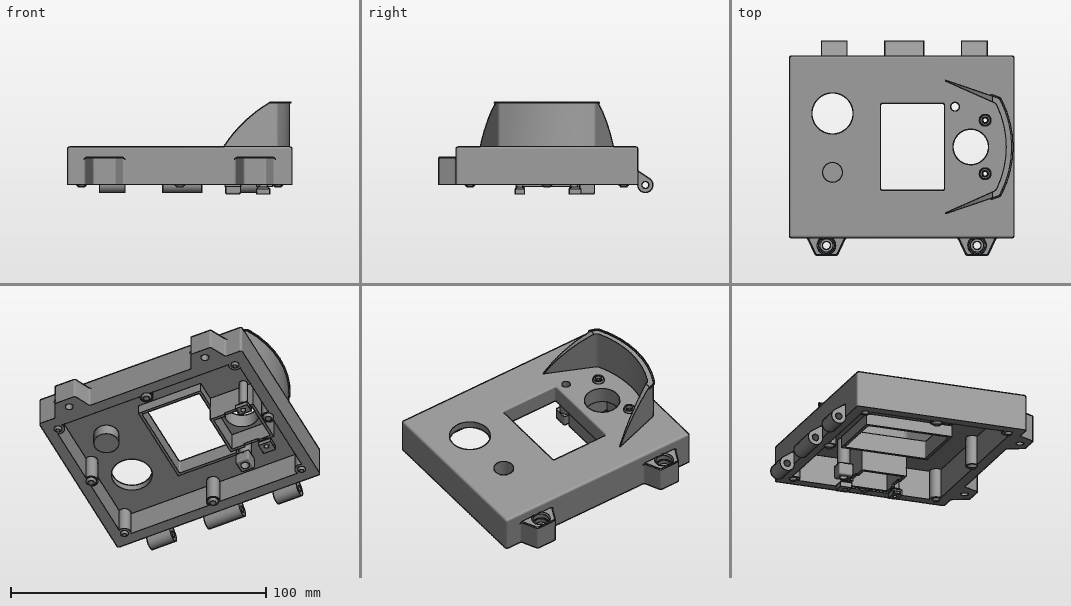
import cadquery as cq
import math


lid_length = 88.0
lid_width = 71.3
lid_height = 14.8
plate_thickness = 3.0
wall_thickness = 4.4
edge_radius = 1.0
middle_x = lid_length / 2
middle_y = lid_width / 2
thin_wall = 1.1

knob_hole_diameter = 16.0
knob_hole_at = (16.9, 48.75)
button_diameter = 7.7
button_depth = 7.0
button_at = (16.9, 25.7)

window_length = 24.9
window_width = 33.9
window_at = (48.2, middle_y)
window_corner_radius = 0.5
window_edge_radius = 0.7
frame_depth = 7.5

sensor_at = (71.0, middle_y)
sensor_hole_diameter = 13.8
sensor_block_side = 18.7
sensor_block_depth = 15.6
sensor_pocket_top = 6.95
sensor_notch_length = 6.2

foot_bottom = 18.6
guide_at = (64.9, 51.4)
guide_bore = 3.3
guide_diameter = 4.9
guide_foot_side = 5.8
guide_foot_height = 4.9
guide_foot_radius = 0.7
screw_x = 76.65
screw_spacing = 20.9
screw_bore = 1.85
screw_post_diameter = 3.3
screw_foot_length = 5.2
screw_foot_inner_half = 1.8
front_foot_outer_half = 1.9
back_foot_outer_half = 2.9
screw_foot_height = 2.8
screw_foot_chamfer = 0.8
foot_slot_width = 2.6
foot_slot_top = 17.25
foot_slot_bottom = 18.1
foot_slot_depth = 0.35
screw_rim_diameter = 4.7
screw_rim_height = 1.0
screw_rim_top_diameter = 4.0
screw_recess_diameter = 2.55

visor_height = 17.5
visor_apex_x = 87.0
visor_outer_radius = 39.95
visor_thickness = 2.1
visor_outer_corner_radius = 1.8
visor_inner_corner_radius = 2.6
visor_lip_overhang = 0.5
visor_lip_height = 0.35
wing_tip_x = 61.2
wing_tip_outer = 26.1
wing_tip_inner = 25.8
wing_outer_slope = 0.34
wing_inner_slope = 0.443
wing_top_x = 79.55
wing_bulge = 1.5

ear_inset = 14.5
ear_reach = 6.8
ear_top = 4.05
ear_root_half = 7.5
ear_tip_half = 4.3
ear_corner_radius = 1.0
ear_edge_chamfer = 0.35
ear_hole_offset = 2.9
ear_hole_diameter = 3.1
ear_rim_diameter = 7.3
ear_bore_diameter = 6.25
ear_bore_depth = 2.0
ear_seat_diameter = 5.2
ear_seat_depth = 1.8

hinges = [(17.6, 10.1), (45.0, 15.3), (72.4, 10.1)]
hinge_radius = 3.0
hinge_bore = 2.6
hinge_axis_y = lid_width + 2.9
hinge_axis_z = -15.0
hinge_arm_top = -9.4

pin_inset = 5.5
pin_height = 1.0
pin_base_diameter = 3.2
pin_tip_diameter = 1.7
side_pin_base_diameter = 4.2
side_pin_tip_diameter = 2.4
pin_post_diameter = 5.3


def block(length, width, at, top, bottom):
    """Upright box centred on a point in plan."""
    box = cq.Workplane("XY").box(length, width, top - bottom, centered=(True, True, False))
    return box.translate((at[0], at[1], bottom))


def cylinder(diameter, at, top, bottom):
    """Upright cylinder centred on a point in plan."""
    return cq.Workplane("XY", origin=(at[0], at[1], bottom)).circle(diameter / 2).extrude(top - bottom)


def cone(top_diameter, bottom_diameter, at, top, bottom):
    """Upright truncated cone centred on a point in plan."""
    top_radius = top_diameter / 2
    bottom_radius = bottom_diameter / 2
    height = top - bottom
    profile = [(0, 0), (bottom_radius, 0), (top_radius, height), (0, height)]
    solid = cq.Workplane("XZ").polyline(profile).close().revolve(360, (0, 0, 0), (0, 1, 0))
    return solid.translate((at[0], at[1], bottom))


def make_lid():
    """Shell with rounded outer edges, open at the bottom."""
    centre = (middle_x, middle_y)
    lid = block(lid_length, lid_width, centre, 0, -lid_height)
    lid = lid.edges("|Z or >Z").fillet(edge_radius)
    inner_length = lid_length - 2 * wall_thickness
    inner_width = lid_width - 2 * wall_thickness
    return lid.cut(block(inner_length, inner_width, centre, -plate_thickness, -lid_height))


def make_ear(x):
    """Solid ear that narrows away from the front wall."""
    outline = [
        (x - ear_root_half, 0),
        (x - ear_tip_half, -ear_reach),
        (x + ear_tip_half, -ear_reach),
        (x + ear_root_half, 0),
    ]
    ear = cq.Workplane("XY", origin=(0, 0, -lid_height)).polyline(outline).close()
    ear = ear.extrude(lid_height - ear_top)
    ear = ear.edges("|Z and <Y").fillet(ear_corner_radius)
    ear = ear.faces(">Z").edges("not >Y").chamfer(ear_edge_chamfer)
    return ear


def make_ear_hole(x):
    """Cutter for a through hole under a two-step bore with a bevelled rim."""
    at = (x, -ear_hole_offset)
    bore_top = -ear_top - (ear_rim_diameter - ear_bore_diameter) / 2
    seat_top = bore_top - ear_bore_depth
    seat_bottom = seat_top - ear_seat_depth
    cutter = cone(ear_rim_diameter, ear_bore_diameter, at, -ear_top, bore_top)
    cutter = cutter.union(cylinder(ear_bore_diameter, at, bore_top, seat_top))
    cutter = cutter.union(cylinder(ear_seat_diameter, at, seat_top, seat_bottom))
    return cutter.union(cylinder(ear_hole_diameter, at, seat_bottom, -lid_height))


def make_hinge(x, length):
    """Knuckle with an arm whose upper face runs tangent to the barrel."""
    run = hinge_axis_y - lid_width
    rise = hinge_arm_top - hinge_axis_z
    normal = math.atan2(rise, -run) - math.acos(hinge_radius / math.hypot(run, rise))
    tangent_y = hinge_axis_y + hinge_radius * math.cos(normal)
    tangent_z = hinge_axis_z + hinge_radius * math.sin(normal)
    root_y = lid_width - edge_radius
    outline = [
        (root_y, hinge_arm_top),
        (lid_width, hinge_arm_top),
        (tangent_y, tangent_z),
        (hinge_axis_y, hinge_axis_z),
        (lid_width, -lid_height),
        (root_y, -lid_height),
    ]
    plane = cq.Workplane("YZ", origin=(x - length / 2, 0, 0))
    barrel = plane.center(hinge_axis_y, hinge_axis_z).circle(hinge_radius).extrude(length)
    bore = plane.center(hinge_axis_y, hinge_axis_z).circle(hinge_bore / 2).extrude(length)
    return plane.polyline(outline).close().extrude(length).union(barrel).cut(bore)


def wing_meets_arc(radius, tip, slope):
    """Point (X, distance from the visor's middle) where a wing's side line meets an arc."""
    centre_x = visor_apex_x - visor_outer_radius
    a = 1 + slope**2
    b = 2 * (wing_tip_x - centre_x) - 2 * tip * slope
    c = (wing_tip_x - centre_x) ** 2 + tip**2 - radius**2
    run = (-b + math.sqrt(b**2 - 4 * a * c)) / (2 * a)
    return wing_tip_x + run, tip - slope * run


def visor_slab(overhang, bottom):
    """Upright visor wall from a given height to its top, grown outward by an overhang."""
    outer_radius = visor_outer_radius + overhang
    apex_x = visor_apex_x + overhang
    tip_outer = wing_tip_outer + overhang
    inner_radius = visor_outer_radius - visor_thickness
    outer_x, outer_half = wing_meets_arc(outer_radius, tip_outer, wing_outer_slope)
    inner_x, inner_half = wing_meets_arc(inner_radius, wing_tip_inner, wing_inner_slope)
    slab = (
        cq.Workplane("XY", origin=(0, middle_y, bottom))
        .moveTo(wing_tip_x, tip_outer)
        .lineTo(outer_x, outer_half)
        .threePointArc((apex_x, 0), (outer_x, -outer_half))
        .lineTo(wing_tip_x, -tip_outer)
        .lineTo(wing_tip_x, -wing_tip_inner)
        .lineTo(inner_x, -inner_half)
        .threePointArc((visor_apex_x - visor_thickness, 0), (inner_x, inner_half))
        .lineTo(wing_tip_x, wing_tip_inner)
        .close()
        .extrude(visor_height - bottom)
    )
    corners = [
        (outer_x, outer_half, visor_outer_corner_radius + overhang),
        (inner_x, inner_half, visor_inner_corner_radius),
    ]
    for x, half, radius in corners:
        for side in (-1, 1):
            corner = cq.selectors.NearestToPointSelector(
                (x, middle_y + side * half, (bottom + visor_height) / 2))
            slab = slab.edges("|Z").edges(corner).fillet(radius)
    return slab


def make_visor():
    """Curved back wall with two wedge-shaped wings, a top lip and a rounded front slope."""
    visor = visor_slab(0, 0).union(visor_slab(visor_lip_overhang, visor_height - visor_lip_height))
    run = wing_top_x - wing_tip_x
    chord = math.hypot(run, visor_height)
    bulge_point = (
        wing_tip_x + run / 2 - wing_bulge * visor_height / chord,
        visor_height / 2 + wing_bulge * run / chord,
    )
    side_profile = (
        cq.Workplane("XZ", origin=(0, lid_width, 0))
        .moveTo(wing_tip_x, 0)
        .threePointArc(bulge_point, (wing_top_x, visor_height))
        .lineTo(lid_length, visor_height)
        .lineTo(lid_length, 0)
        .close()
        .extrude(lid_width)
    )
    return visor.intersect(side_profile)


def make_guide_post():
    """Round post ending in a square foot with rounded edges."""
    foot_top = guide_foot_height - foot_bottom
    foot = block(guide_foot_side, guide_foot_side, guide_at, foot_top, -foot_bottom)
    foot = foot.edges("|Z or <Z").fillet(guide_foot_radius)
    return foot.union(cylinder(guide_diameter, guide_at, -plate_thickness, foot_top))


def make_screw_post(at, side, outer_half):
    """Post with a raised rim on the plate and a foot reaching further away from the sensor."""
    foot_top = screw_foot_height - foot_bottom
    foot_at = (at[0], at[1] + side * (outer_half - screw_foot_inner_half) / 2)
    foot = block(screw_foot_length, outer_half + screw_foot_inner_half, foot_at, foot_top, -foot_bottom)
    foot = foot.faces(">Z").edges().chamfer(screw_foot_chamfer)
    rim = cone(screw_rim_top_diameter, screw_rim_diameter, at, screw_rim_height, 0)
    return foot.union(rim).union(cylinder(screw_post_diameter, at, -plate_thickness, foot_top))


def make_pin(at, base_diameter, tip_diameter):
    """Tapered pin on a post that reaches down from the plate."""
    post = cylinder(pin_post_diameter, at, -plate_thickness, -lid_height)
    return post.union(cone(base_diameter, tip_diameter, at, -lid_height, -lid_height - pin_height))


result = make_lid()
for ear_x in (ear_inset, lid_length - ear_inset):
    result = result.union(make_ear(ear_x))
    for side in (-1, 1):
        root_edge = cq.selectors.NearestToPointSelector(
            (ear_x + side * ear_root_half, 0, -(lid_height + ear_top) / 2))
        result = result.edges("|Z").edges(root_edge).fillet(ear_corner_radius)
    result = result.cut(make_ear_hole(ear_x))

for hinge_x, hinge_length in hinges:
    result = result.union(make_hinge(hinge_x, hinge_length))
result = result.union(make_visor())

for x in (pin_inset, lid_length - pin_inset):
    for y in (pin_inset, lid_width - pin_inset):
        result = result.union(make_pin((x, y), pin_base_diameter, pin_tip_diameter))
    result = result.union(make_pin((x, middle_y), side_pin_base_diameter, side_pin_tip_diameter))
for y in (pin_inset, lid_width - pin_inset):
    result = result.union(make_pin((middle_x, y), side_pin_base_diameter, side_pin_tip_diameter))

result = result.union(block(window_length + 2 * thin_wall, window_width + 2 * thin_wall, window_at,
                            -plate_thickness, -frame_depth))
result = result.union(block(sensor_block_side, sensor_block_side, sensor_at,
                            -plate_thickness, -sensor_block_depth))
result = result.union(cylinder(button_diameter + 2 * thin_wall, button_at,
                               -plate_thickness, -button_depth - thin_wall))
result = result.union(make_guide_post())
screw_places = []
for side, outer_half in ((-1, front_foot_outer_half), (1, back_foot_outer_half)):
    place = (screw_x, middle_y + side * screw_spacing / 2)
    screw_places.append(place)
    result = result.union(make_screw_post(place, side, outer_half))

slot_at = (screw_x - screw_foot_length / 2, screw_places[0][1])
result = result.cut(block(2 * foot_slot_depth, foot_slot_width, slot_at, -foot_slot_top, -foot_slot_bottom))

window = block(window_length, window_width, window_at, 0, -foot_bottom)
window = window.edges("|Z").fillet(window_corner_radius)
result = result.cut(window)
window_rim = (window_at[0], window_at[1] + window_width / 2, 0)
rim_edge = cq.selectors.NearestToPointSelector(window_rim)
result = result.edges(rim_edge).fillet(window_edge_radius)

pocket_side = sensor_block_side - 2 * thin_wall
result = result.cut(block(pocket_side, pocket_side, sensor_at, -sensor_pocket_top, -sensor_block_depth))
result = result.cut(block(sensor_notch_length, sensor_block_side, sensor_at, -lid_height, -sensor_block_depth))
result = result.cut(cylinder(sensor_hole_diameter, sensor_at, 0, -sensor_block_depth))
result = result.cut(cylinder(knob_hole_diameter, knob_hole_at, 0, -plate_thickness))
result = result.cut(cylinder(button_diameter, button_at, 0, -button_depth))
result = result.cut(cylinder(guide_bore, guide_at, 0, -foot_bottom))
for place in screw_places:
    result = result.cut(cylinder(screw_bore, place, screw_rim_height, -foot_bottom))
    result = result.cut(cone(screw_recess_diameter, screw_bore, place, screw_rim_height, 0))